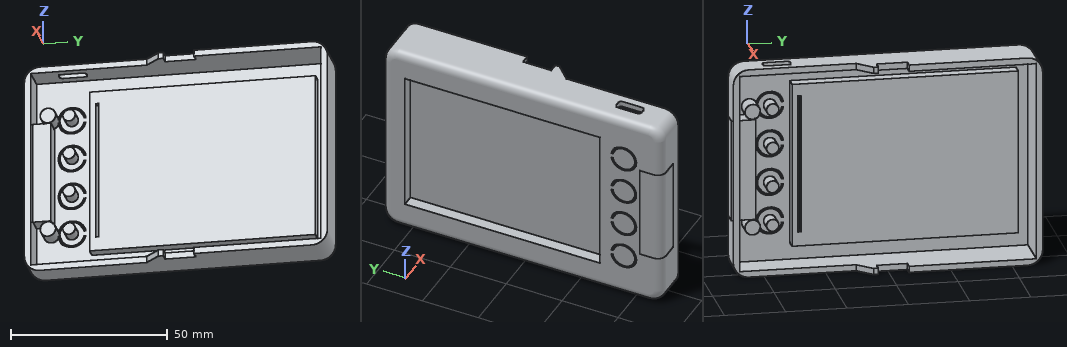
import cadquery as cq

LENGTH = 100.0
HEIGHT = 70.0
DEPTH = 16.5
WALL = 2.1
FRONT_WALL = 2.0
CORNER_RADIUS = 5.0
FRONT_FILLET = 3.0

THIN_DEPTH = 11.7
NOTCH_START_Y = 6.4
NOTCH_END_Y = -3.6
NOTCH_DEPTH = 3.0
LIP_END_Y = -5.2
RAMP_END_Y = LIP_END_Y - (DEPTH - THIN_DEPTH)

DISPLAY_LENGTH = 69.8
DISPLAY_HEIGHT = 50.6
DISPLAY_CENTER_Y = 7.1
TRAY_DEPTH = 4.0
TRAY_WALL = 2.0
CABLE_SLOT_WIDTH = 1.0
CABLE_SLOT_LENGTH = 45.8
CABLE_SLOT_CENTER_Z = 0.3

BUTTON_Y = -36.3
BUTTON_PITCH = 13.0
BUTTON_COUNT = 4
BUTTON_RADIUS = 4.0
BUTTON_GAP = 0.5
HINGE_WIDTH = 1.8
POST_RADIUS = 2.0
POST_END_X = 7.1

USB_LENGTH = 9.0
USB_WIDTH = 3.4
USB_CORNER_RADIUS = 1.0
USB_CENTER_X = 7.1
USB_CENTER_Y = -35.0

INSERT_SIZE = 8.0
INSERT_LENGTH = 33.6

BOSS_RADIUS = 2.5
BOSS_Y = -43.0
BOSS_END_X = INSERT_SIZE

BUTTON_LEVELS = [(i - (BUTTON_COUNT - 1) / 2) * BUTTON_PITCH for i in range(BUTTON_COUNT)]


def block(x_start, x_end, length, height, y_center=0.0, z_center=0.0):
    """Box from x_start to x_end, centred in Y and Z on the given point."""
    return (
        cq.Workplane("YZ", origin=(x_start, y_center, z_center))
        .rect(length, height)
        .extrude(x_end - x_start)
    )


def rod(x_start, x_end, radius, y_center, z_center):
    """Cylinder along X."""
    return (
        cq.Workplane("YZ", origin=(x_start, y_center, z_center))
        .circle(radius)
        .extrude(x_end - x_start)
    )


def make_envelope():
    """Solid outer shape of the case, including the corner insert."""
    rounded = (
        block(0, DEPTH, LENGTH, HEIGHT)
        .edges("|X").fillet(CORNER_RADIUS)
        .faces("<X").edges().fillet(FRONT_FILLET)
    )
    back_profile = (
        cq.Workplane("XY", origin=(0, 0, -HEIGHT / 2))
        .moveTo(0, LENGTH / 2)
        .lineTo(DEPTH, LENGTH / 2)
        .lineTo(DEPTH, NOTCH_START_Y)
        .lineTo(DEPTH - NOTCH_DEPTH, NOTCH_START_Y)
        .lineTo(DEPTH - NOTCH_DEPTH, NOTCH_END_Y)
        .lineTo(DEPTH, NOTCH_END_Y)
        .lineTo(DEPTH, LIP_END_Y)
        .lineTo(THIN_DEPTH, RAMP_END_Y)
        .lineTo(THIN_DEPTH, -LENGTH / 2)
        .lineTo(0, -LENGTH / 2)
        .close()
        .extrude(HEIGHT)
    )
    return rounded.intersect(back_profile)


def add_display_tray(case):
    """Recess in the front face with its own walls, floor and cable slot."""
    tray_back = TRAY_DEPTH + TRAY_WALL
    tray = block(
        FRONT_WALL / 2,
        tray_back,
        DISPLAY_LENGTH + 2 * TRAY_WALL,
        DISPLAY_HEIGHT + 2 * TRAY_WALL,
        DISPLAY_CENTER_Y,
    )
    recess = block(0, TRAY_DEPTH, DISPLAY_LENGTH, DISPLAY_HEIGHT, DISPLAY_CENTER_Y)
    slot_y = DISPLAY_CENTER_Y - DISPLAY_LENGTH / 2 + CABLE_SLOT_WIDTH / 2
    slot = block(0, tray_back, CABLE_SLOT_WIDTH, CABLE_SLOT_LENGTH, slot_y, CABLE_SLOT_CENTER_Z)
    return case.union(tray).cut(recess).cut(slot)


def make_button_gap(z_center):
    """C-shaped gap through the front wall, interrupted by the hinge."""
    outer_radius = BUTTON_RADIUS + BUTTON_GAP
    ring = rod(0, FRONT_WALL, outer_radius, BUTTON_Y, z_center).cut(
        rod(0, FRONT_WALL, BUTTON_RADIUS, BUTTON_Y, z_center)
    )
    hinge = block(0, FRONT_WALL, outer_radius, HINGE_WIDTH, BUTTON_Y + outer_radius / 2, z_center)
    return ring.cut(hinge)


def add_buttons(case):
    """Flexible buttons with the posts behind them."""
    for level in BUTTON_LEVELS:
        case = case.cut(make_button_gap(level))
        case = case.union(rod(FRONT_WALL / 2, POST_END_X, POST_RADIUS, BUTTON_Y, level))
    return case


def add_bosses(case):
    """One boss beside each outermost button, at either end of the insert."""
    for level in (BUTTON_LEVELS[0], BUTTON_LEVELS[-1]):
        case = case.union(rod(FRONT_WALL / 2, BOSS_END_X, BOSS_RADIUS, BOSS_Y, level))
    return case


def make_usb_opening():
    """Rounded opening through the +Z wall."""
    return (
        cq.Workplane("XY", origin=(USB_CENTER_X, USB_CENTER_Y, HEIGHT / 2 - WALL))
        .rect(USB_WIDTH, USB_LENGTH)
        .extrude(WALL)
        .edges("|Z").fillet(USB_CORNER_RADIUS)
    )


def make_insert(envelope):
    """Block in the front corner of the -Y end, following the case's rounded edge."""
    insert_y = (INSERT_SIZE - LENGTH) / 2
    return envelope.intersect(block(0, INSERT_SIZE, INSERT_SIZE, INSERT_LENGTH, insert_y))


def make_case(envelope, insert):
    """Open-backed shell with tray, buttons and bosses, cut out for the insert."""
    cavity = block(FRONT_WALL, DEPTH, LENGTH - 2 * WALL, HEIGHT - 2 * WALL)
    case = envelope.cut(cavity)
    case = add_display_tray(case)
    case = add_bosses(case)
    case = add_buttons(case)
    return case.cut(make_usb_opening()).cut(insert)


envelope = make_envelope()
insert = make_insert(envelope)
case = make_case(envelope, insert)

result = cq.Compound.makeCompound([case.solids().val(), insert.solids().val()])